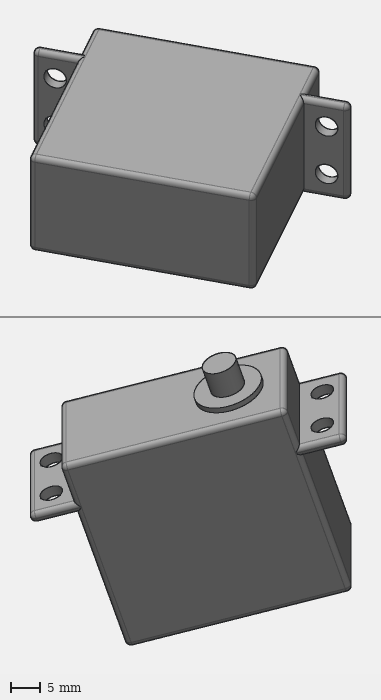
import cadquery as cq

overall_width = 56.0
overall_depth = 45.0
height = 20.0

case_width = 40.0
case_depth = 39.0
case_edge_radius = 1.0

plate_thickness = 2.0
plate_rim_flat = 0.05
plate_edge_radius = (plate_thickness - plate_rim_flat) / 2
plate_front = 29.0
plate_mid_y = plate_front + plate_thickness / 2

hole_diameter = 4.0
hole_edge_distance = 4.0
hole_spacing_z = 10.0
hole_spacing_x = overall_width - 2 * hole_edge_distance

shaft_edge_distance = 10.0
shaft_x = -case_width / 2 + shaft_edge_distance
shaft_diameter = 6.0
collar_diameter = 12.0
collar_thickness = 1.0
shaft_length = overall_depth - case_depth


def make_case():
    """Box with all edges rounded, its front face at Y = 0."""
    return (
        cq.Workplane("XY")
        .box(case_width, case_depth, height)
        .edges()
        .fillet(case_edge_radius)
        .translate((0, case_depth / 2, 0))
    )


def make_plate():
    """Plate passing through the case, with every edge rounded to almost half its thickness."""
    return (
        cq.Workplane("XY")
        .box(overall_width, plate_thickness, height)
        .edges()
        .fillet(plate_edge_radius)
        .translate((0, plate_mid_y, 0))
    )


def make_screw_holes():
    """Four cutters along Y that start at the plate front and end at its back."""
    return (
        cq.Workplane("XZ", origin=(0, plate_front, 0))
        .rect(hole_spacing_x, hole_spacing_z, forConstruction=True)
        .vertices()
        .circle(hole_diameter / 2)
        .extrude(-plate_thickness)
    )


def make_back_disc(diameter, length):
    """Cylinder standing on the back face of the case at the shaft position."""
    back_face = cq.Plane(origin=(shaft_x, case_depth, 0), xDir=(0, 0, 1), normal=(0, 1, 0))
    return cq.Workplane(back_face).circle(diameter / 2).extrude(length)


result = (
    make_case()
    .union(make_plate())
    .cut(make_screw_holes())
    .union(make_back_disc(collar_diameter, collar_thickness))
    .union(make_back_disc(shaft_diameter, shaft_length))
)